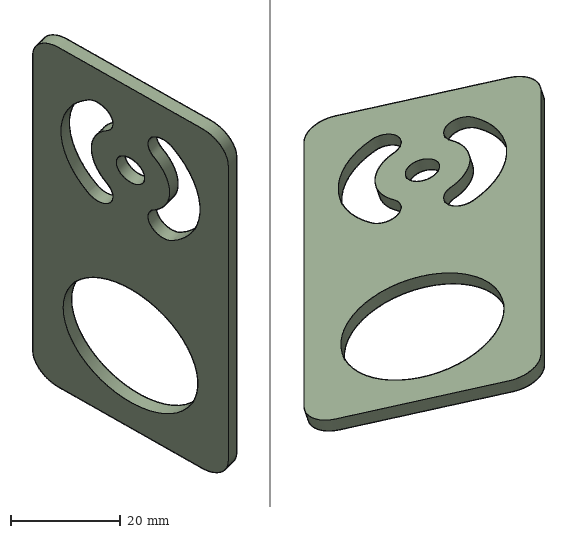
import cadquery as cq
import math

width = 45.0
height = 93.0
thickness = 2.6
corner_radius = 6.0

hole_offset = height / 2 - width / 2
pivot_diameter = 6.5
window_diameter = 31.0

slot_inner_radius = 9.0
slot_outer_radius = 16.0
slot_half_angle = 53.0


def polar(radius, angle):
    """Point at a radius and angle (degrees) about the pivot."""
    a = math.radians(angle)
    return radius * math.cos(a), radius * math.sin(a)


def curved_slot(middle_angle):
    """Cutter for an arc-shaped slot with rounded ends, centred on middle_angle."""
    start = middle_angle - slot_half_angle
    end = middle_angle + slot_half_angle
    end_radius = (slot_outer_radius - slot_inner_radius) / 2
    return (
        cq.Workplane("XZ", origin=(0, 0, hole_offset))
        .moveTo(*polar(slot_outer_radius, start))
        .threePointArc(polar(slot_outer_radius, middle_angle), polar(slot_outer_radius, end))
        .radiusArc(polar(slot_inner_radius, end), -end_radius)
        .threePointArc(polar(slot_inner_radius, middle_angle), polar(slot_inner_radius, start))
        .radiusArc(polar(slot_outer_radius, start), -end_radius)
        .close()
        .extrude(thickness, both=True)
    )


plate = (
    cq.Workplane("XY")
    .box(width, thickness, height)
    .edges("|Y")
    .fillet(corner_radius)
)

plate = plate.faces("<Y").workplane(origin=(0, 0, hole_offset)).hole(pivot_diameter)
plate = plate.faces("<Y").workplane(origin=(0, 0, -hole_offset)).hole(window_diameter)

for middle_angle in (0, 180):
    plate = plate.cut(curved_slot(middle_angle))

result = plate